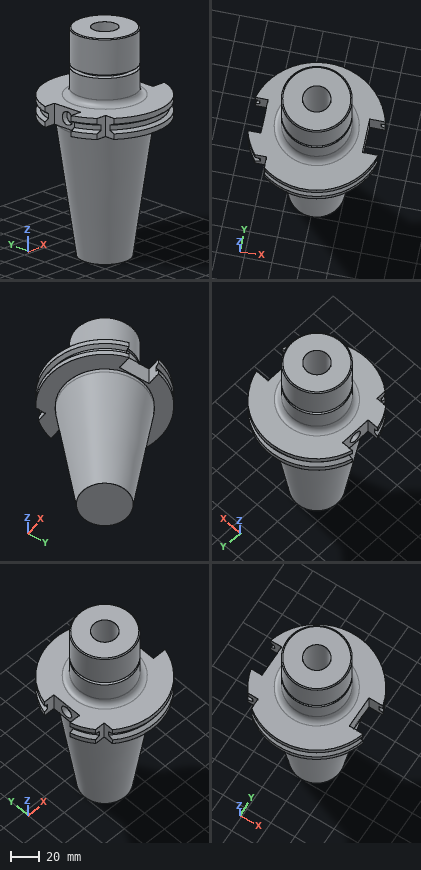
import cadquery as cq
import math


gauge_diameter = 69.85
taper_ratio = 7 / 24
taper_length = 101.75

flange_diameter = 97.5
flange_bottom = 3.2
flange_top = 19.1

groove_center_z = 11.1
groove_floor_diameter = 91.25
groove_floor_width = 3.75
groove_flank_angle = 30.0

slot_width = 25.7
slot_floor_left = -37.7
slot_floor_right = 35.5
notch_offset = 30.0

chip_hole_diameter = 10.0
chip_hole_depth = 4.6

nose_diameter = 50.0
nose_top = 70.0
nose_fillet = 5.0
rim_chamfer_width = 1.0
rim_chamfer_height = 0.6
neck_diameter = 41.0
neck_bottom = 40.4
neck_top = 43.0

bore_diameter = 20.0
bore_depth = 50.0


def make_turned_body():
    """Revolve the half profile of shank, flange and nose about Z."""
    gauge_radius = gauge_diameter / 2
    tip_radius = gauge_radius - taper_length * taper_ratio / 2
    flange_radius = flange_diameter / 2
    groove_radius = groove_floor_diameter / 2
    nose_radius = nose_diameter / 2
    neck_radius = neck_diameter / 2

    groove_depth = flange_radius - groove_radius
    floor_half = groove_floor_width / 2
    mouth_half = floor_half + groove_depth * math.tan(math.radians(groove_flank_angle))

    fillet_mid_offset = nose_fillet * (1 - math.sqrt(0.5))
    fillet_middle = (nose_radius + fillet_mid_offset, flange_top + fillet_mid_offset)
    fillet_end = (nose_radius, flange_top + nose_fillet)

    profile = (
        cq.Workplane("XZ")
        .moveTo(0, -taper_length)
        .lineTo(tip_radius, -taper_length)
        .lineTo(gauge_radius, 0)
        .lineTo(gauge_radius, flange_bottom)
        .lineTo(flange_radius, flange_bottom)
        .lineTo(flange_radius, groove_center_z - mouth_half)
        .lineTo(groove_radius, groove_center_z - floor_half)
        .lineTo(groove_radius, groove_center_z + floor_half)
        .lineTo(flange_radius, groove_center_z + mouth_half)
        .lineTo(flange_radius, flange_top)
        .lineTo(nose_radius + nose_fillet, flange_top)
        .threePointArc(fillet_middle, fillet_end)
        .lineTo(nose_radius, neck_bottom)
        .lineTo(neck_radius, neck_bottom)
        .lineTo(neck_radius, neck_top)
        .lineTo(nose_radius, neck_top)
        .lineTo(nose_radius, nose_top - rim_chamfer_height)
        .lineTo(nose_radius - rim_chamfer_width, nose_top)
        .lineTo(0, nose_top)
        .close()
    )
    return profile.revolve(360, (0, 0, 0), (0, 1, 0))


def make_flange_cutter(x_start, x_end, y_start, y_end):
    """Box over the full flange height between the given X and Y limits."""
    return (
        cq.Workplane("XY")
        .workplane(offset=flange_bottom)
        .moveTo(x_start, y_start)
        .lineTo(x_end, y_start)
        .lineTo(x_end, y_end)
        .lineTo(x_start, y_end)
        .close()
        .extrude(flange_top - flange_bottom)
    )


def cut_driving_slots(body):
    """Cut the two open slots of unequal depth on the X axis."""
    for floor_x in (slot_floor_left, slot_floor_right):
        outside_x = math.copysign(flange_diameter, floor_x)
        slot = make_flange_cutter(floor_x, outside_x, -slot_width / 2, slot_width / 2)
        body = body.cut(slot)
    return body


def cut_orientation_notch(body):
    """Cut the square-cornered notch in the -X, -Y quarter of the flange."""
    notch = make_flange_cutter(-flange_diameter, -notch_offset, -flange_diameter, -notch_offset)
    return body.cut(notch)


def cut_chip_hole(body):
    """Sink the blind chip pocket into the floor of the -X slot."""
    hole = (
        cq.Workplane("YZ", origin=(slot_floor_left, 0, groove_center_z))
        .circle(chip_hole_diameter / 2)
        .extrude(chip_hole_depth)
    )
    return body.cut(hole)


def cut_tool_bore(body):
    """Sink the blind tool bore from the top of the nose."""
    bore = (
        cq.Workplane("XY", origin=(0, 0, nose_top))
        .circle(bore_diameter / 2)
        .extrude(-bore_depth)
    )
    return body.cut(bore)


result = make_turned_body()
result = cut_driving_slots(result)
result = cut_orientation_notch(result)
result = cut_chip_hole(result)
result = cut_tool_bore(result)